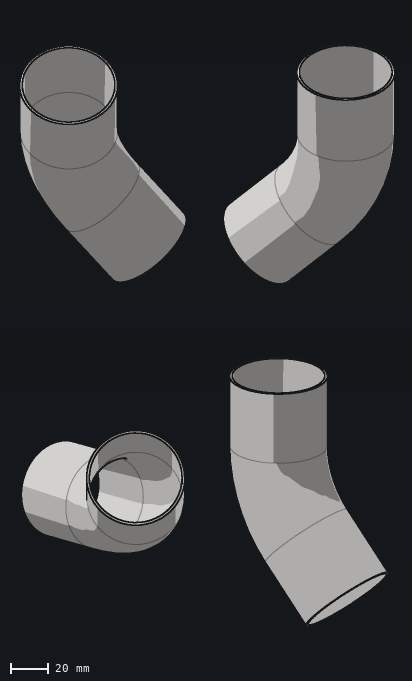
import cadquery as cq

outer_diameter = 53.0
inner_diameter = 50.0
upper_leg_length = 40.0
lower_leg_length = 41.0
bend_radius = 70.0
bend_angle = 43.5


def pipe_section(workplane):
    """Draw the ring-shaped cross section of the pipe."""
    return workplane.circle(outer_diameter / 2).circle(inner_diameter / 2)


upper_leg = pipe_section(cq.Workplane("XY")).extrude(upper_leg_length)

bend_axis_start = (bend_radius, 0, 0)
bend_axis_end = (bend_radius, -1, 0)
bend = pipe_section(cq.Workplane("XY")).revolve(bend_angle, bend_axis_start, bend_axis_end)

lower_leg = (
    pipe_section(cq.Workplane("XY"))
    .extrude(-lower_leg_length)
    .rotate(bend_axis_start, bend_axis_end, bend_angle)
)

result = upper_leg.union(bend).union(lower_leg)